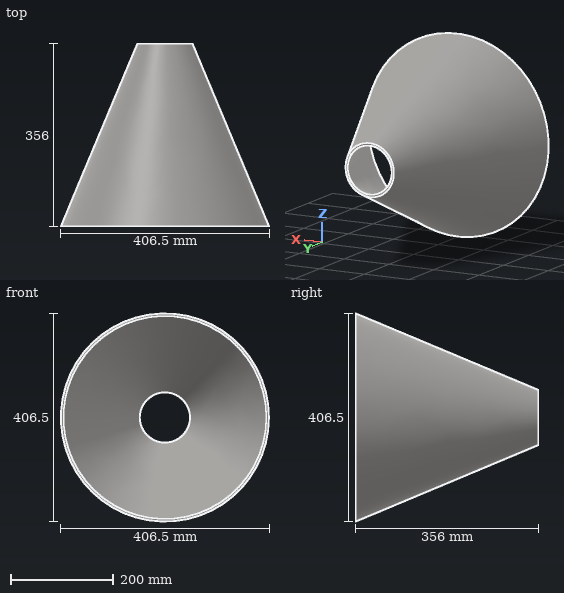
import cadquery as cq

length = 356.0
wide_diameter = 406.5
narrow_diameter = 108.0
radial_wall = 5.3

wide_radius = wide_diameter / 2
narrow_radius = narrow_diameter / 2

wall_section = (
    cq.Workplane("XY")
    .moveTo(wide_radius - radial_wall, -length / 2)
    .lineTo(wide_radius, -length / 2)
    .lineTo(narrow_radius, length / 2)
    .lineTo(narrow_radius - radial_wall, length / 2)
    .close()
)

result = wall_section.revolve(360, (0, 0, 0), (0, 1, 0))